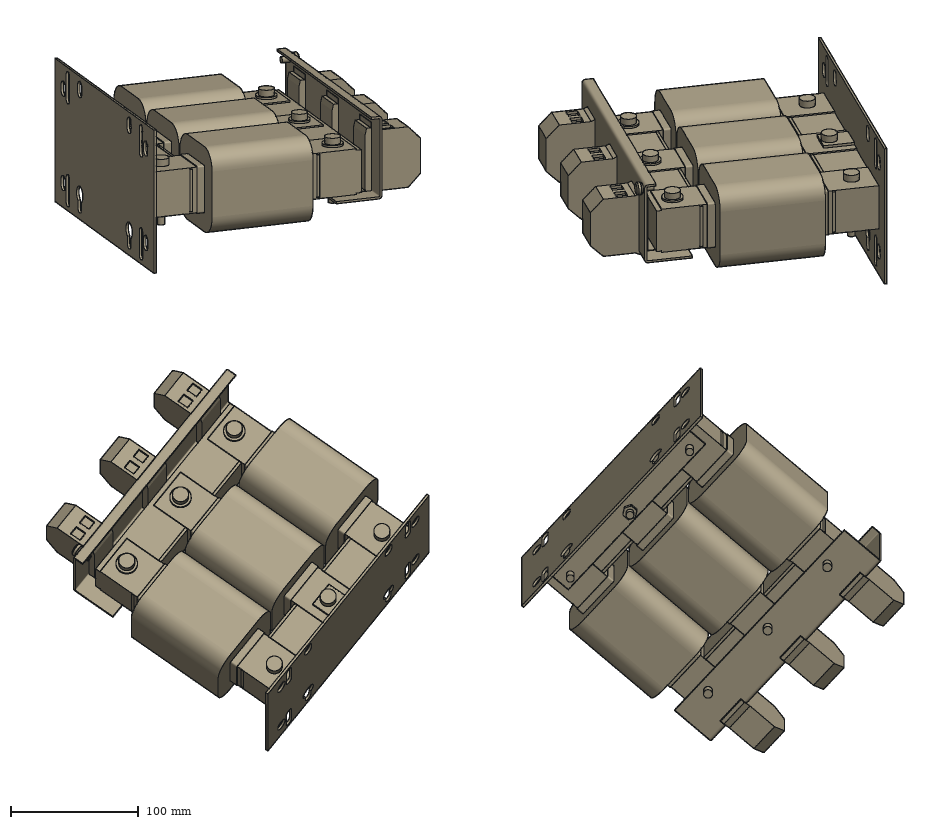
import cadquery as cq


PLATE_WIDTH = 210.0
PLATE_HEIGHT = 117.0
PLATE_THICKNESS = 2.0
LONG_SLOT_X, LONG_SLOT_Z = 77.5, 42.0
LONG_SLOT_LENGTH, LONG_SLOT_WIDTH = 26.2, 6.8
SHORT_SLOT_X, SHORT_SLOT_Z = 87.5, 38.5
SHORT_SLOT_LENGTH, SHORT_SLOT_WIDTH = 12.2, 8.9
HANGER_X = 52.3
HANGER_SLOT_Z, HANGER_SLOT_LENGTH, HANGER_SLOT_WIDTH = 47.7, 13.0, 8.6
KEYHOLE_Z, KEYHOLE_RADIUS = -38.0, 6.5
KEYHOLE_NECK_WIDTH, KEYHOLE_BOTTOM_Z = 6.8, -53.3

LIMB_SPACING = 70.0
LIMB_X = [-LIMB_SPACING, 0, LIMB_SPACING]
BAR = 35.0
SPACER_THICKNESS = 2.3
SPACER_INSET = 0.2
CORE_FRONT = PLATE_THICKNESS
CORE_LENGTH = 179.5
CORE_BACK = CORE_FRONT + CORE_LENGTH
CORE_WIDTH = 2 * LIMB_SPACING + BAR
CORE_MIDDLE = (CORE_FRONT + CORE_BACK) / 2
STRAP_THICKNESS = 1.2
STRAP_TOP = BAR / 2 + STRAP_THICKNESS
STRAP_BACK_MARGIN = 4.2

COIL_WIDTH, COIL_LENGTH, COIL_HEIGHT = 68.0, 85.0, 69.6
COIL_CORNER = 16.1
BOBBIN_WIDTH, BOBBIN_LENGTH, BOBBIN_HEIGHT = 36.7, 97.7, 38.8
BOBBIN_CORNER = 1.5

HEAD_RADIUS = 6.3
FRONT_BOLT_Y, FRONT_HEAD_HEIGHT, FRONT_STUD_RADIUS = 19.9, 5.8, 3.0
NUT_DIAMETER, NUT_HEIGHT = 11.7, 3.7
FRONT_STUD_END = -30.1
TAB_WIDTH, TAB_BACK = 21.0, 27.0
TAB_TOP = STRAP_TOP + PLATE_THICKNESS
BACK_BOLT_Y, BACK_HEAD_HEIGHT, BACK_STUD_RADIUS = 164.3, 5.4, 3.5
WASHER_RADIUS, WASHER_HEIGHT = 8.5, 1.6
BACK_STUD_END = -28.3

BRACKET_WIDTH = 199.5
SHEET = 1.9
BEND_RADIUS = 2.8
WALL_BACK = 194.2
WALL_FRONT = WALL_BACK - SHEET
BRACKET_TOP = 47.0
BRACKET_BOTTOM = -STRAP_TOP - SHEET
FLANGE_FRONT = 185.0
FOOT_FRONT = 155.6

TERMINAL_WIDTH = 24.3
TERMINAL_Z = 5.4
TERMINAL_BACK = 233.7
TERMINAL_CHAMFER = 10.5
TERMINAL_HALF_HEIGHT = 24.8
FLARE_BACK = 197.5
CLIP_BACK, CLIP_EDGE, CLIP_FRONT = 191.6, 188.1, 187.0
CLIP_HALF_HEIGHT, CLIP_FACE_HALF_HEIGHT = 27.3, 22.5
PAD_THICKNESS, PAD_TOP = 0.5, 37.2
WINDOW_X, WINDOW_Y = 5.8, 207.5
WINDOW_WIDTH, WINDOW_LENGTH, WINDOW_DEPTH = 7.5, 9.0, 2.3

SCREW_X, SCREW_Z = -91.1, 40.5
SCREW_STUD_RADIUS = 2.5
SCREW_WASHER_RADIUS, SCREW_WASHER_THICKNESS = 4.5, 1.5
SCREW_HEAD_RADIUS, SCREW_HEAD_HEIGHT, SCREW_HEAD_CHAMFER = 5.1, 3.5, 1.2


def block(x, y, z):
    """Box between pairs of limits along each axis."""
    size = [high - low for low, high in (x, y, z)]
    return cq.Workplane("XY").box(*size, centered=False).translate((x[0], y[0], z[0]))


def centred(width, middle=0):
    """Limits of a stretch of the given width about its middle."""
    return (middle - width / 2, middle + width / 2)


def post(x, y, radius, z_low, z_high):
    """Upright cylinder."""
    return cq.Workplane("XY", origin=(x, y, z_low)).circle(radius).extrude(z_high - z_low)


def rod(x, z, radius, y_front, y_back):
    """Cylinder along Y."""
    return cq.Workplane("XZ", origin=(x, y_front, z)).circle(radius).extrude(y_front - y_back)


def rounded_bar(x, width, length, height, corner):
    """Bar along Y with rounded long edges, centred on the core."""
    bar = block(centred(width, x), centred(length, CORE_MIDDLE), centred(height))
    return bar.edges("|Y").fillet(corner)


def make_plate():
    plate = block(centred(PLATE_WIDTH), (0, PLATE_THICKNESS), centred(PLATE_HEIGHT))
    neck_length = KEYHOLE_Z - KEYHOLE_BOTTOM_Z

    def slots(points, length, width):
        face = cq.Workplane("XZ").pushPoints(points)
        return face.slot2D(length, width, 90).extrude(-PLATE_THICKNESS)

    def four_corners(x, z):
        return [(i * x, j * z) for i in (-1, 1) for j in (-1, 1)]

    plate = plate.cut(slots(four_corners(LONG_SLOT_X, LONG_SLOT_Z), LONG_SLOT_LENGTH, LONG_SLOT_WIDTH))
    plate = plate.cut(slots(four_corners(SHORT_SLOT_X, SHORT_SLOT_Z), SHORT_SLOT_LENGTH, SHORT_SLOT_WIDTH))
    for x in (-HANGER_X, HANGER_X):
        plate = plate.cut(slots([(x, HANGER_SLOT_Z)], HANGER_SLOT_LENGTH, HANGER_SLOT_WIDTH))
        plate = plate.cut(rod(x, KEYHOLE_Z, KEYHOLE_RADIUS, 0, PLATE_THICKNESS))
        neck_middle = KEYHOLE_BOTTOM_Z + neck_length / 2
        plate = plate.cut(slots([(x, neck_middle)], neck_length, KEYHOLE_NECK_WIDTH))

    top_tab = block(centred(TAB_WIDTH), (0, TAB_BACK), (STRAP_TOP, TAB_TOP))
    ledge_width = 2 * LIMB_SPACING + TAB_WIDTH
    bottom_ledge = block(centred(ledge_width), (0, TAB_BACK), (-TAB_TOP, -STRAP_TOP))
    return plate.union(top_tab).union(bottom_ledge)


def make_core():
    front_yoke_end = CORE_FRONT + BAR
    back_yoke_start = CORE_BACK - BAR
    limb_y = (front_yoke_end + SPACER_THICKNESS, back_yoke_start - SPACER_THICKNESS)
    spacer_width = CORE_WIDTH - 2 * SPACER_INSET
    spacer_height = BAR - 2 * SPACER_INSET

    core = block(centred(CORE_WIDTH), (CORE_FRONT, front_yoke_end), centred(BAR))
    core = core.union(block(centred(CORE_WIDTH), (back_yoke_start, CORE_BACK), centred(BAR)))
    for y in ((front_yoke_end, limb_y[0]), (limb_y[1], back_yoke_start)):
        core = core.union(block(centred(spacer_width), y, centred(spacer_height)))
    for x in LIMB_X:
        core = core.union(block(centred(BAR, x), limb_y, centred(BAR)))
        strap_y = (CORE_FRONT, CORE_BACK - STRAP_BACK_MARGIN)
        for z in ((BAR / 2, STRAP_TOP), (-STRAP_TOP, -BAR / 2)):
            core = core.union(block(centred(BAR, x), strap_y, z))
    return core


def make_coil(x):
    coil = rounded_bar(x, COIL_WIDTH, COIL_LENGTH, COIL_HEIGHT, COIL_CORNER)
    return coil.union(rounded_bar(x, BOBBIN_WIDTH, BOBBIN_LENGTH, BOBBIN_HEIGHT, BOBBIN_CORNER))


def make_front_bolt(x):
    """Bolt through core and ledge; the middle one also clamps the tab and has a hexagon nut."""
    seat = TAB_TOP if x == 0 else STRAP_TOP
    bolt = post(x, FRONT_BOLT_Y, HEAD_RADIUS, seat, seat + FRONT_HEAD_HEIGHT)
    bolt = bolt.union(post(x, FRONT_BOLT_Y, FRONT_STUD_RADIUS, FRONT_STUD_END, seat))
    if x == 0:
        nut = cq.Workplane("XY", origin=(x, FRONT_BOLT_Y, -TAB_TOP)).transformed(rotate=(0, 0, 90))
        bolt = bolt.union(nut.polygon(6, NUT_DIAMETER).extrude(-NUT_HEIGHT))
    return bolt


def make_back_bolt(x):
    """Bolt with a washer; its stud passes through the bracket foot."""
    washer_top = STRAP_TOP + WASHER_HEIGHT
    bolt = post(x, BACK_BOLT_Y, WASHER_RADIUS, STRAP_TOP, washer_top)
    bolt = bolt.union(post(x, BACK_BOLT_Y, HEAD_RADIUS, washer_top, washer_top + BACK_HEAD_HEIGHT))
    return bolt.union(post(x, BACK_BOLT_Y, BACK_STUD_RADIUS, BACK_STUD_END, STRAP_TOP))


def make_bracket():
    """Bent sheet: foot under the core, upright wall and a short flange on top."""
    wide = centred(BRACKET_WIDTH)
    outside = block(wide, (FOOT_FRONT, WALL_BACK), (BRACKET_BOTTOM, BRACKET_TOP))
    outside = outside.edges("|X and >Y").fillet(BEND_RADIUS)
    inside = block(wide, (FOOT_FRONT, WALL_FRONT), (BRACKET_BOTTOM + SHEET, BRACKET_TOP - SHEET))
    inside = inside.edges("|X and >Y").fillet(BEND_RADIUS - SHEET)
    above_foot = block(wide, (FOOT_FRONT, FLANGE_FRONT), (BRACKET_BOTTOM + SHEET, BRACKET_TOP))
    return outside.cut(inside).cut(above_foot)


def make_terminal(x):
    """Terminal pair: chamfered housing behind the wall, clip and lining in front of it."""
    half_profile = [
        (CLIP_FRONT, CLIP_FACE_HALF_HEIGHT),
        (CLIP_EDGE, CLIP_HALF_HEIGHT),
        (CLIP_BACK, CLIP_HALF_HEIGHT),
        (FLARE_BACK, TERMINAL_HALF_HEIGHT),
        (TERMINAL_BACK - TERMINAL_CHAMFER, TERMINAL_HALF_HEIGHT),
        (TERMINAL_BACK, TERMINAL_HALF_HEIGHT - TERMINAL_CHAMFER),
    ]
    mirrored = [(y, -z) for y, z in reversed(half_profile)]
    side = cq.Workplane("YZ", origin=(x, 0, TERMINAL_Z)).polyline(half_profile + mirrored).close()
    terminal = side.extrude(TERMINAL_WIDTH / 2, both=True)

    wide = centred(TERMINAL_WIDTH, x)
    wall_pad_y = (WALL_FRONT - PAD_THICKNESS, WALL_FRONT)
    terminal = terminal.union(block(wide, wall_pad_y, (-STRAP_TOP, PAD_TOP)))
    foot_pad_y = (CORE_BACK - STRAP_BACK_MARGIN, WALL_FRONT)
    terminal = terminal.union(block(wide, foot_pad_y, (-STRAP_TOP, -STRAP_TOP + PAD_THICKNESS)))

    top = TERMINAL_Z + TERMINAL_HALF_HEIGHT
    for offset in (-WINDOW_X, WINDOW_X):
        window_x = centred(WINDOW_WIDTH, x + offset)
        window_y = centred(WINDOW_LENGTH, WINDOW_Y)
        terminal = terminal.cut(block(window_x, window_y, (top - WINDOW_DEPTH, top)))
    return terminal


def make_earth_screw():
    head_front = WALL_BACK + SCREW_WASHER_THICKNESS
    head = rod(SCREW_X, SCREW_Z, SCREW_HEAD_RADIUS, head_front, head_front + SCREW_HEAD_HEIGHT)
    head = head.faces(">Y").edges().chamfer(SCREW_HEAD_CHAMFER)
    washer = rod(SCREW_X, SCREW_Z, SCREW_WASHER_RADIUS, WALL_BACK, head_front)
    stud = rod(SCREW_X, SCREW_Z, SCREW_STUD_RADIUS, FLANGE_FRONT, WALL_BACK)
    return head.union(washer).union(stud)


result = make_core().union(make_plate()).union(make_bracket()).union(make_earth_screw())
for limb_x in LIMB_X:
    result = result.union(make_coil(limb_x))
    result = result.union(make_front_bolt(limb_x))
    result = result.union(make_back_bolt(limb_x))
    result = result.union(make_terminal(limb_x))